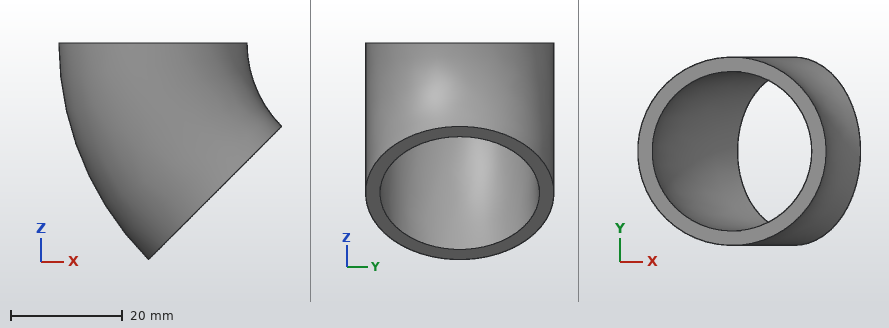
import cadquery as cq
import math

overall_length = 39.9
outer_diameter = 33.7
wall_thickness = 2.6
bend_angle = 45.0

outer_radius = outer_diameter / 2
inner_radius = outer_radius - wall_thickness

bend_cosine = math.cos(math.radians(bend_angle))
bend_radius = (overall_length - outer_radius * (1 + bend_cosine)) / (1 - bend_cosine)


def pipe_elbow():
    """Sweep the pipe ring down from its flat top end, curving toward +X."""
    ring = cq.Workplane("XY").circle(outer_radius).circle(inner_radius)
    axis_start = (bend_radius, 0)
    axis_end = (bend_radius, -1)
    return ring.revolve(bend_angle, axis_start, axis_end)


result = pipe_elbow()